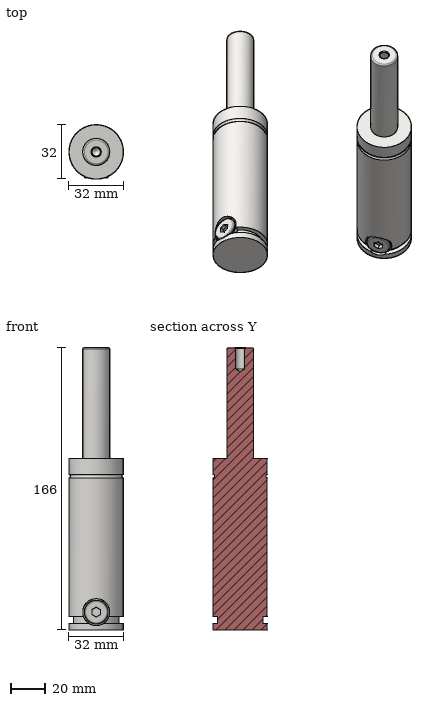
import cadquery as cq
import math

total_height = 166.0
body_diameter = 32.0
body_height = 101.0
body_radius = body_diameter / 2

rod_diameter = 16.0
rod_end_radius = 1.0
rod_hole_diameter = 5.0
rod_hole_chamfer = 0.5
rod_hole_chamfer_angle = 90
rod_hole_depth = 12.5
drill_point_angle = 118

base_flange_height = 4.0
base_groove_width = 4.0
base_groove_diameter = 26.9
ring_groove_center = 90.5
ring_groove_radius = 1.2
ring_groove_depth = 0.8

plug_center_height = 10.6
plug_diameter = 14.0
plug_edge_radius = 0.7
plug_face_distance = 15.3
plug_inner_distance = 8.3
seat_diameter = 15.8
seat_floor_distance = 13.8
hex_across_flats = 5.0
hex_depth = 2.5


def cylinder_up(diameter, bottom, top):
    return cq.Workplane("XY").workplane(offset=bottom).circle(diameter / 2).extrude(top - bottom)


def plug_plane(distance):
    """Workplane facing -Y, at a distance from the body axis and centred on the plug."""
    return cq.Workplane("XZ", origin=(0, -distance, plug_center_height))


def make_body():
    body = cylinder_up(body_diameter, 0, body_height)
    groove_top = base_flange_height + base_groove_width
    base_groove = cylinder_up(body_diameter, base_flange_height, groove_top).cut(
        cylinder_up(base_groove_diameter, base_flange_height, groove_top)
    )
    ring_center_radius = body_radius + ring_groove_radius - ring_groove_depth
    ring_groove = cq.Workplane("XY").add(
        cq.Solid.makeTorus(ring_center_radius, ring_groove_radius, cq.Vector(0, 0, ring_groove_center))
    )
    return body.cut(base_groove).cut(ring_groove)


def make_rod():
    rod = cylinder_up(rod_diameter, body_height - rod_diameter, total_height)
    rod = rod.faces(">Z").fillet(rod_end_radius)
    return (
        rod.faces(">Z")
        .workplane()
        .cskHole(
            rod_hole_diameter,
            rod_hole_diameter + 2 * rod_hole_chamfer,
            rod_hole_chamfer_angle,
            depth=rod_hole_depth,
        )
        .cut(make_drill_point())
    )


def make_drill_point():
    half_angle = math.radians(drill_point_angle / 2)
    hole_radius = rod_hole_diameter / 2
    point_length = hole_radius / math.tan(half_angle)
    hole_bottom = total_height - rod_hole_depth
    return (
        cq.Workplane("XZ")
        .moveTo(0, hole_bottom)
        .lineTo(hole_radius, hole_bottom)
        .lineTo(0, hole_bottom - point_length)
        .close()
        .revolve(360, (0, 0), (0, 1))
    )


def plug_cylinder(diameter, inner_distance, outer_distance):
    return plug_plane(inner_distance).circle(diameter / 2).extrude(outer_distance - inner_distance)


def add_plug(body):
    recess = plug_cylinder(seat_diameter, seat_floor_distance, body_radius)
    seat = plug_cylinder(seat_diameter, plug_inner_distance, seat_floor_distance)
    plug = plug_cylinder(plug_diameter, plug_inner_distance, plug_face_distance)
    plug = plug.faces("<Y").fillet(plug_edge_radius)
    hex_corner_diameter = hex_across_flats / math.cos(math.pi / 6)
    hex_socket = (
        plug_plane(plug_face_distance)
        .transformed(rotate=(0, 0, 90))
        .polygon(6, hex_corner_diameter)
        .extrude(-hex_depth)
    )
    return body.cut(recess).union(seat).union(plug).cut(hex_socket)


result = add_plug(make_body().union(make_rod()))